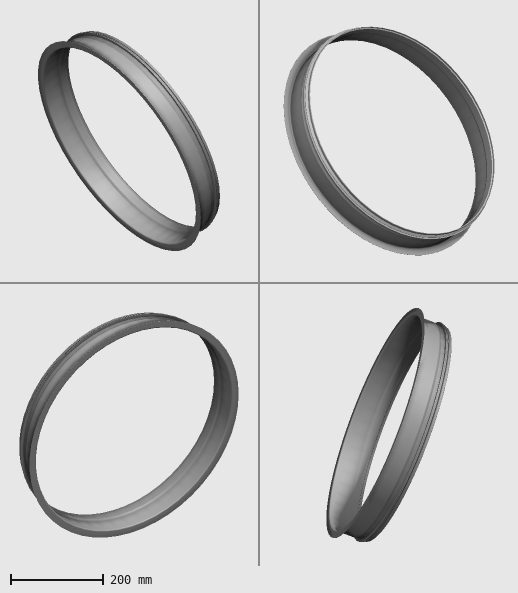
import cadquery as cq
import math

LENGTH = 72.0
FLANGE_DIAMETER = 533.0
SPIGOT_DIAMETER = 499.0
GASKET_SEAT_DIAMETER = 494.0
SHEET = 0.5
FLANGE_BEND = 2.5
END_BEND = 1.5

GROOVE_START = 42.0
SHOULDER_BEND = 2.5
SHOULDER_ANGLE = 26.0
GROOVE_FLOOR_END = 65.0
GROOVE_END = 66.0

GASKET_THICKNESS = 0.5
GASKET_START = 56.5
LIP_THICKNESS = 1.0
STRAIGHT_LIP_DIAMETER = 509.0
SWEPT_LIP_DIAMETER = 506.5
SWEPT_LIP_SETBACK = 3.0

ROOT_MIDDLE = 225.0
END_MIDDLE = 45.0

SPIGOT_RADIUS = SPIGOT_DIAMETER / 2
SEAT_RADIUS = GASKET_SEAT_DIAMETER / 2


def arc_point(center, radius, degrees):
    """Point on a circle at an angle measured from the radial direction."""
    angle = math.radians(degrees)
    return (center[0] + radius * math.cos(angle), center[1] + radius * math.sin(angle))


def revolve_about_y(profile):
    return profile.close().revolve(360, (0, 0, 0), (0, 1, 0))


def make_collar():
    """Flange, spigot, gasket groove and inturned end formed from one sheet."""
    bore_radius = SPIGOT_RADIUS - SHEET
    flange_radius = FLANGE_DIAMETER / 2

    root_radius = SPIGOT_RADIUS + FLANGE_BEND
    root_y = SHEET + FLANGE_BEND
    root_center = (root_radius, root_y)

    shoulder_center = (SPIGOT_RADIUS - SHOULDER_BEND, GROOVE_START)
    bend_end = arc_point(shoulder_center, SHOULDER_BEND, SHOULDER_ANGLE)
    bend_middle = arc_point(shoulder_center, SHOULDER_BEND, SHOULDER_ANGLE / 2)
    shoulder_drop = bend_end[0] - SEAT_RADIUS
    shoulder_end = bend_end[1] + shoulder_drop / math.tan(math.radians(SHOULDER_ANGLE))
    inner_bend = SHOULDER_BEND - SHEET
    inner_bend_end = arc_point(shoulder_center, inner_bend, SHOULDER_ANGLE)
    inner_bend_middle = arc_point(shoulder_center, inner_bend, SHOULDER_ANGLE / 2)
    seat_bore = SEAT_RADIUS - SHEET
    inner_drop = inner_bend_end[0] - seat_bore
    inner_shoulder_end = inner_bend_end[1] + inner_drop / math.tan(math.radians(SHOULDER_ANGLE))

    end_center = (SPIGOT_RADIUS - END_BEND, LENGTH - END_BEND)
    inner_end_bend = END_BEND - SHEET

    profile = (
        cq.Workplane("XY")
        .moveTo(flange_radius, 0)
        .lineTo(flange_radius, SHEET)
        .lineTo(root_radius, SHEET)
        .threePointArc(arc_point(root_center, FLANGE_BEND, ROOT_MIDDLE), (SPIGOT_RADIUS, root_y))
        .lineTo(SPIGOT_RADIUS, GROOVE_START)
        .threePointArc(bend_middle, bend_end)
        .lineTo(SEAT_RADIUS, shoulder_end)
        .lineTo(SEAT_RADIUS, GROOVE_FLOOR_END)
        .lineTo(SPIGOT_RADIUS, GROOVE_END)
        .lineTo(SPIGOT_RADIUS, end_center[1])
        .threePointArc(arc_point(end_center, END_BEND, END_MIDDLE), (end_center[0], LENGTH))
        .lineTo(end_center[0], LENGTH - SHEET)
        .threePointArc(arc_point(end_center, inner_end_bend, END_MIDDLE), (bore_radius, end_center[1]))
        .lineTo(bore_radius, GROOVE_END + SHEET)
        .lineTo(seat_bore, GROOVE_FLOOR_END + SHEET)
        .lineTo(seat_bore, inner_shoulder_end)
        .lineTo(*inner_bend_end)
        .threePointArc(inner_bend_middle, (bore_radius, GROOVE_START))
        .lineTo(bore_radius, root_y)
        .threePointArc(arc_point(root_center, FLANGE_BEND + SHEET, ROOT_MIDDLE), (root_radius, 0))
    )
    return revolve_about_y(profile)


def make_gasket():
    """Band in the groove with a straight lip and a lip swept back to the flange."""
    band_radius = SEAT_RADIUS + GASKET_THICKNESS
    straight_lip_radius = STRAIGHT_LIP_DIAMETER / 2
    swept_lip_radius = SWEPT_LIP_DIAMETER / 2
    straight_lip_end = GASKET_START + LIP_THICKNESS
    swept_lip_start = GROOVE_FLOOR_END - LIP_THICKNESS

    profile = (
        cq.Workplane("XY")
        .moveTo(SEAT_RADIUS, GASKET_START)
        .lineTo(straight_lip_radius, GASKET_START)
        .lineTo(straight_lip_radius, straight_lip_end)
        .lineTo(band_radius, straight_lip_end)
        .lineTo(band_radius, swept_lip_start)
        .lineTo(swept_lip_radius, swept_lip_start - SWEPT_LIP_SETBACK)
        .lineTo(swept_lip_radius, GROOVE_FLOOR_END - SWEPT_LIP_SETBACK)
        .lineTo(SEAT_RADIUS, GROOVE_FLOOR_END)
    )
    return revolve_about_y(profile)


collar = make_collar()
gasket = make_gasket()

result = cq.Compound.makeCompound([collar.val(), gasket.val()])